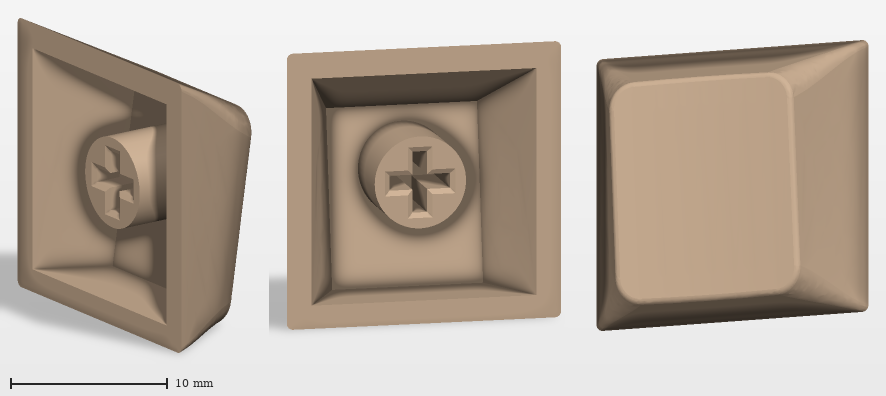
import cadquery as cq
import math


base_size = 18.0
base_corner = 0.41
crown_width = 12.02
crown_low_y = 5.87
crown_slope = 8.5
crown_top_z = 13.97
crown_corner = 1.71
crown_edge_fillet = 0.36
shell_steps = 4

dish_sag = 0.4

cavity_width = 14.72
cavity_bottom_z = 1.51
cavity_top_z = 16.3
floor_width = 9.9
floor_top_z = 13.01
floor_top_y = 6.28

stem_diameter = 6.0
stem_recess = 1.0
cross_span = 4.63
cross_arm = 1.62
socket_chamfer = 0.32
socket_chamfer_depth = 0.2

crown_tan = math.tan(math.radians(crown_slope))
center_x = base_size / 2
center_z = base_size / 2
crown_center_z = crown_top_z / 2
crown_center_y = crown_low_y + crown_tan * crown_center_z
floor_low_y = floor_top_y - crown_tan * (floor_top_z - cavity_bottom_z)


def section(width, low, high, corner=0.0):
    """Rectangle across X between two (y, z) points, with optional rounded corners."""
    low_y, low_z = low
    high_y, high_z = high
    rise_y = high_y - low_y
    rise_z = high_z - low_z
    plane = cq.Plane(
        origin=(center_x, (low_y + high_y) / 2, (low_z + high_z) / 2),
        xDir=(-1, 0, 0),
        normal=(0, rise_z, -rise_y),
    )
    outline = cq.Sketch().rect(width, math.hypot(rise_y, rise_z))
    if corner:
        outline = outline.vertices().fillet(corner)
    return outline.reset().faces().val().outerWire().moved(plane.location)


def blend(start, end, fraction):
    return start + (end - start) * fraction


def shell_section(fraction):
    """Shell outline from the rim (0) to the crown (1); its corner radius eases in and out."""
    eased = fraction**2 * (3 - 2 * fraction)
    low = (fraction * crown_low_y, 0)
    high = (
        fraction * (crown_low_y + crown_tan * crown_top_z),
        blend(base_size, crown_top_z, fraction),
    )
    width = blend(base_size, crown_width, fraction)
    return section(width, low, high, blend(base_corner, crown_corner, eased))


def make_dish():
    half_width = crown_width / 2
    radius = (half_width**2 + dish_sag**2) / (2 * dish_sag)
    along_crown = cq.Plane(
        origin=(center_x, crown_center_y, crown_center_z),
        xDir=(1, 0, 0),
        normal=(0, crown_tan, 1),
    )
    return cq.Workplane(along_crown).center(0, radius - dish_sag).circle(radius).extrude(base_size, both=True)


def make_body():
    sections = [shell_section(step / shell_steps) for step in range(shell_steps + 1)]
    shell = cq.Workplane(obj=cq.Solid.makeLoft(sections))
    dished = shell.cut(make_dish())
    crown_middle = (center_x, crown_center_y - dish_sag, crown_center_z)
    crown_face = dished.faces(cq.NearestToPointSelector(crown_middle))
    return crown_face.edges().fillet(crown_edge_fillet)


def make_cavity():
    mouth = section(cavity_width, (0, cavity_bottom_z), (0, cavity_top_z))
    floor = section(floor_width, (floor_low_y, cavity_bottom_z), (floor_top_y, floor_top_z))
    return cq.Workplane(obj=cq.Solid.makeLoft([mouth, floor], True))


def cross_wire(span, arm, y):
    """Cross outline parallel to the rim at height y."""
    tip = span / 2
    side = arm / 2
    corners = [
        (tip, -side), (tip, side), (side, side), (side, tip),
        (-side, tip), (-side, side), (-tip, side), (-tip, -side),
        (-side, -side), (-side, -tip), (side, -tip), (side, -side),
    ]
    points = [cq.Vector(center_x + x, y, center_z + z) for x, z in corners]
    return cq.Wire.makePolygon(points, close=True)


def make_stem():
    """Stem long enough to pass through the sloping cavity floor."""
    plane = cq.Plane(origin=(center_x, stem_recess, center_z), xDir=(-1, 0, 0), normal=(0, 1, 0))
    return cq.Workplane(plane).circle(stem_diameter / 2).extrude(floor_top_y - stem_recess)


def make_socket():
    """Chamfered mouth followed by a straight cross."""
    inner_span = cross_span - 2 * socket_chamfer
    inner_arm = cross_arm - 2 * socket_chamfer
    chamfer_end_y = stem_recess + socket_chamfer_depth
    mouth = cross_wire(cross_span, cross_arm, stem_recess)
    neck = cross_wire(inner_span, inner_arm, chamfer_end_y)
    end = cross_wire(inner_span, inner_arm, floor_top_y)
    chamfer = cq.Workplane(obj=cq.Solid.makeLoft([mouth, neck], True))
    shaft = cq.Workplane(obj=cq.Solid.makeLoft([neck, end], True))
    return chamfer.union(shaft)


body = make_body()
cavity = make_cavity()
socketed_stem = make_stem().cut(make_socket())
result = body.cut(cavity.cut(socketed_stem))